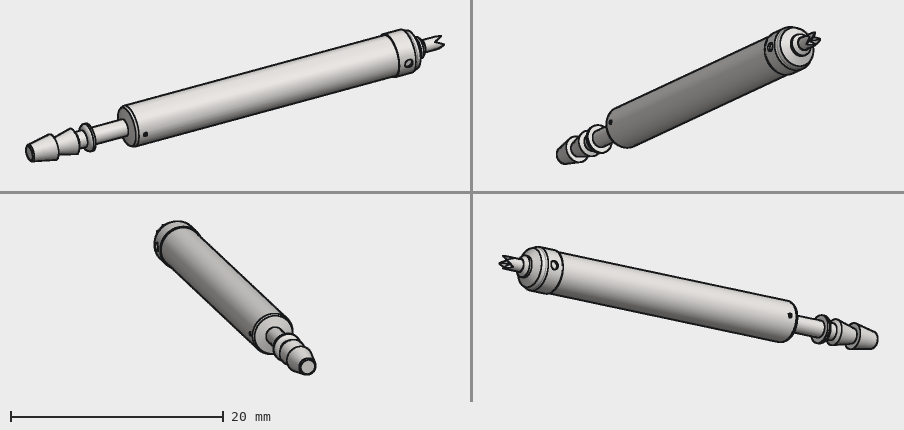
import cadquery as cq
import math

length = 43.5
tip_y = length / 2
tail_y = -length / 2

crown_radius = 0.6
crown_length = 1.95
crown_notch_depth = 0.85
crown_notch_angle = 50.0
crown_points = 4
first_notch_angle = 180.0 / crown_points
notch_spacing = 360.0 / crown_points

nose_tip_radius = 0.65
nose_land_radius = 1.05
nose_land_length = 0.25
nose_tip_cone_length = 0.4
nose_shoulder_radius = 1.85
nose_cone_length = 0.52
nose_bevel_length = 0.4

collar_diameter = 4.2
collar_radius = collar_diameter / 2
collar_length = 1.75
collar_bevel = 0.2
barrel_radius = 2.0
barrel_end_y = -11.2
barrel_bevel_length = 0.25
barrel_bevel_depth = 0.15

barrel_cone_length = 0.25

collar_hole_diameter = 0.83
collar_hole_inset = 0.75
barrel_hole_diameter = 0.4
hole_depth = 0.2
barrel_hole_y = -10.5

stem_radius = 0.83
flange_radius = 1.35
flange_y = -15.4
flange_rim = 0.2
flange_crown_length = 0.4
flange_crown_radius = 0.52
barb_radius = 1.25
barb_length = 2.5
front_barb_end_radius = 0.75
rear_barb_end_radius = 0.83
front_barb_y = -16.85
barb_lead = 0.25
tail_chamfer = 0.15

nose_y = tip_y - crown_length
land_y = nose_y - nose_tip_cone_length
cone_y = land_y - nose_land_length
shoulder_y = cone_y - nose_cone_length
bevel_y = shoulder_y - nose_bevel_length
collar_y = bevel_y - collar_bevel
barrel_y = collar_y - collar_length
collar_hole_y = collar_y - collar_hole_inset
barrel_bevel_y = barrel_end_y - barrel_bevel_length
stem_y = barrel_bevel_y - barrel_cone_length
flange_end_y = flange_y - flange_rim - flange_crown_length
rear_barb_y = tail_y + barb_length


def make_body():
    """Revolve the half outline (radius, y) about the Y axis."""
    outline = (
        cq.Workplane("XY")
        .moveTo(0, tip_y)
        .lineTo(crown_radius, tip_y)
        .lineTo(crown_radius, nose_y)
        .lineTo(nose_tip_radius, nose_y)
        .lineTo(nose_land_radius, land_y)
        .lineTo(nose_land_radius, cone_y)
        .lineTo(nose_shoulder_radius, shoulder_y)
        .lineTo(barrel_radius, bevel_y)
        .lineTo(collar_radius, collar_y)
        .lineTo(collar_radius, barrel_y)
        .lineTo(barrel_radius, barrel_y)
        .lineTo(barrel_radius, barrel_end_y)
        .lineTo(barrel_radius - barrel_bevel_depth, barrel_bevel_y)
        .lineTo(stem_radius, stem_y)
        .lineTo(stem_radius, flange_y)
        .lineTo(flange_radius, flange_y)
        .lineTo(flange_radius, flange_y - flange_rim)
        .radiusArc((stem_radius, flange_end_y), flange_crown_radius)
        .lineTo(stem_radius, front_barb_y)
        .lineTo(barb_radius, front_barb_y - barb_lead)
        .lineTo(front_barb_end_radius, rear_barb_y)
        .lineTo(barb_radius, rear_barb_y)
        .lineTo(rear_barb_end_radius, tail_y + tail_chamfer)
        .lineTo(rear_barb_end_radius - tail_chamfer, tail_y)
        .lineTo(0, tail_y)
        .close()
    )
    return outline.revolve(360, (0, 0, 0), (0, 1, 0))


def make_crown_notch(angle):
    """V groove across the tip, turned by an angle about the axis."""
    half_width = crown_notch_depth * math.tan(math.radians(crown_notch_angle / 2))
    notch = (
        cq.Workplane("XY")
        .polyline([(-half_width, tip_y), (half_width, tip_y), (0, tip_y - crown_notch_depth)])
        .close()
        .extrude(2 * crown_radius, both=True)
    )
    return notch.rotate((0, 0, 0), (0, 1, 0), angle)


def make_flank_holes(y, diameter, surface_radius):
    """Matching blind holes in the -X and +X flanks."""
    floor = surface_radius - hole_depth
    hole = cq.Workplane("YZ", origin=(floor, y, 0)).circle(diameter / 2).extrude(2 * hole_depth)
    return hole.union(hole.mirror("YZ"))


result = make_body()

for index in range(crown_points // 2):
    result = result.cut(make_crown_notch(first_notch_angle + index * notch_spacing))
result = result.cut(make_flank_holes(collar_hole_y, collar_hole_diameter, collar_radius))
result = result.cut(make_flank_holes(barrel_hole_y, barrel_hole_diameter, barrel_radius))